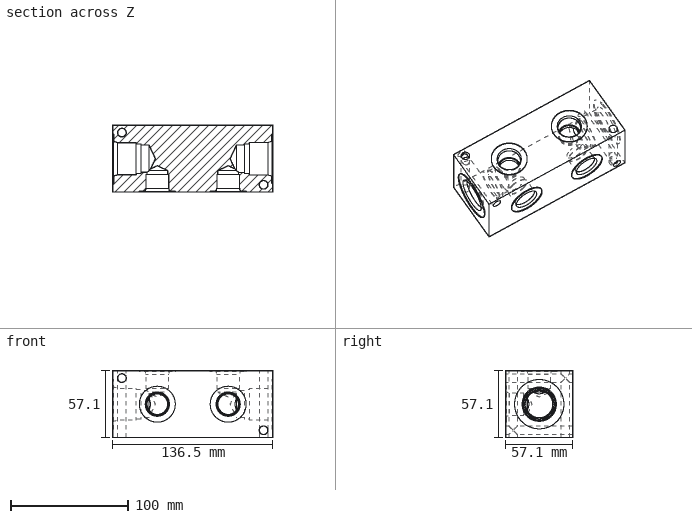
import cadquery as cq
import math

length = 136.53
width = 57.15
half_width = width / 2

port_end_distance = 38.1
port_spotface_diameter = 30.63
port_mouth_diameter = 20.62
port_seat_diameter = 19.25
port_seat_depth = 2.54
port_thread_diameter = 19.05
port_thread_depth = 15.0
port_bore_diameter = 17.5
port_bore_depth = 18.4

end_spotface_diameter = 42.04
end_mouth_diameter = 29.2
end_seat_diameter = 27.43
end_seat_depth = 3.3
end_thread_diameter = 26.99
end_thread_depth = 20.0
end_tap_drill_diameter = 24.92
end_tap_drill_depth = 24.0
end_bore_diameter = 23.01
end_bore_depth = 31.0

spotface_depth = 0.8
drill_point_angle = 130.0

mount_diameter = 7.14
mount_end_distance = 7.94
mount_edge_distance = 6.35
mount_offset = half_width - mount_edge_distance


def make_port(spotface_diameter, mouth_diameter, seat_diameter, seat_depth, bores):
    """Cutter for a port that opens at the origin and runs along +Z.

    The seat tapers from the mouth inwards from the spotface floor. Each bore is
    a (diameter, depth) pair with the depth measured from the block face. The
    last bore ends in a conical drill point.
    """
    outline = (
        cq.Workplane("XZ")
        .lineTo(spotface_diameter / 2, 0)
        .lineTo(spotface_diameter / 2, spotface_depth)
        .lineTo(mouth_diameter / 2, spotface_depth)
        .lineTo(seat_diameter / 2, spotface_depth + seat_depth)
    )
    start_depth = spotface_depth + seat_depth
    for diameter, depth in bores:
        outline = outline.lineTo(diameter / 2, start_depth).lineTo(diameter / 2, depth)
        start_depth = depth
    tip_diameter, tip_depth = bores[-1]
    point_height = tip_diameter / 2 / math.tan(math.radians(drill_point_angle / 2))
    outline = outline.lineTo(0, tip_depth + point_height).close()
    return outline.revolve(360, (0, 0, 0), (0, 1, 0))


def place(cutter, origin, inward_direction):
    """Move a cutter so that it opens at the origin and runs inwards."""
    plane = cq.Plane(origin=origin, normal=inward_direction)
    return cutter.val().moved(cq.Location(plane))


def cut_work_ports(body):
    port = make_port(
        port_spotface_diameter,
        port_mouth_diameter,
        port_seat_diameter,
        port_seat_depth,
        [(port_thread_diameter, port_thread_depth), (port_bore_diameter, port_bore_depth)],
    )
    for x in (port_end_distance, length - port_end_distance):
        body = body.cut(place(port, (x, -half_width, 0), (0, 1, 0)))
        body = body.cut(place(port, (x, 0, half_width), (0, 0, -1)))
    return body


def cut_end_ports(body):
    port = make_port(
        end_spotface_diameter,
        end_mouth_diameter,
        end_seat_diameter,
        end_seat_depth,
        [
            (end_thread_diameter, end_thread_depth),
            (end_tap_drill_diameter, end_tap_drill_depth),
            (end_bore_diameter, end_bore_depth),
        ],
    )
    body = body.cut(place(port, (0, 0, 0), (1, 0, 0)))
    return body.cut(place(port, (length, 0, 0), (-1, 0, 0)))


def cut_mounting_holes(body):
    """Through holes along Y and Z at two diagonally opposite corners."""
    hole = cq.Workplane("XY").circle(mount_diameter / 2).extrude(width)
    for x, offset in (
        (mount_end_distance, mount_offset),
        (length - mount_end_distance, -mount_offset),
    ):
        body = body.cut(place(hole, (x, -half_width, offset), (0, 1, 0)))
        body = body.cut(place(hole, (x, offset, half_width), (0, 0, -1)))
    return body


block = cq.Workplane("XY").box(length, width, width, centered=(False, True, True))
result = cut_mounting_holes(cut_end_ports(cut_work_ports(block)))